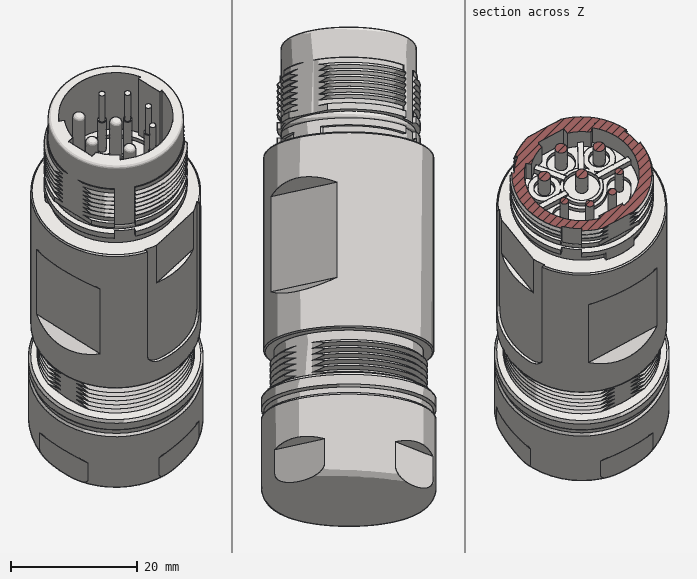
import cadquery as cq
import math


TOTAL_HEIGHT = 76.3
NUT_TOP = 18.0
BODY_BOTTOM = 25.5
BODY_TOP = 58.0

NUT_RADIUS = 13.9
NUT_BOTTOM_ROUND = 3.05
NUT_TOP_CHAMFER = 0.45
NUT_GROOVE_RADIUS = 13.5
NUT_GROOVE_BOTTOM = 14.3
NUT_GROOVE_TOP = 15.95
NUT_FLAT_DISTANCE = 13.0
NUT_FLAT_TOP = 7.0
NUT_FLAT_SLOPE = 1.0

NECK_RADIUS = 11.9
NECK_CREST_RADIUS = 12.5
NECK_FLAT_HALF_WIDTH = 1.6
NECK_FIRST_CREST = 18.5
THREAD_PITCH = 1.0
CREST_COUNT = 6

BODY_RADIUS = 13.5
BODY_CHAMFER = 0.2
BODY_FLAT_DISTANCE = 11.8
BODY_FLAT_BOTTOM = 33.8
BODY_FLAT_TOP = 49.6
BODY_FLAT_SLOPE = 0.9
PANEL_RADIUS = 13.05
PANEL_HALF_WIDTH = 6.5
PANEL_BOTTOM = 30.15
PANEL_CORNER_RADIUS = 2.3
UPPER_FLAT_DISTANCE = 12.2
UPPER_FLAT_BOTTOM = 48.8

SOCKET_RADIUS = 10.75
RIM_ROUND = 0.6
BAND_RADIUS = 10.9
BAND_BOTTOM = 63.4
BAND_TOP = 71.1
SOCKET_CREST_RADIUS = 11.4
SOCKET_FIRST_CREST = 64.8
SOCKET_FLAT_HALF_WIDTH = 1.1
RING_BOTTOM = 62.3
FLANGE_BOTTOM = 59.75
FLANGE_TOP = 60.9
SEAL_GROOVE_RADIUS = 10.2
SLOT_ANGLE = 17.0
SLOT_CENTRES = (48.0, 188.5, 317.0)
SIDE_LUG_Y_RANGE = (-8.8, -3.5)
REAR_LUG_X_RANGE = (-2.7, 2.7)

BORE_RADIUS = 9.1
FLOOR = 62.6
KEY_WIDTH = 4.4
KEY_INNER_FACE = 8.3
LINER_RADIUS = 8.2
LINER_HALF_ANGLE = 44.0
KEYWAY_WIDTH = 4.8
KEYWAY_OUTER_FACE = 8.85

RELIEF = 0.8
HUB_RADIUS = 3.4
HUB_RECESS_RADIUS = 2.9
RIB_WIDTH = 0.9
RIB_HEIGHT = 1.15
RIB_ANGLES = (0.0, 180.0, 238.0, 302.0)
PIN_CIRCLE_RADIUS = 5.95
SIGNAL_PIN_ANGLES = (29.0, 69.0, 111.0, 151.0)
POWER_PIN_ANGLES = (209.0, 270.0, 331.0)
POCKET_HALF_WIDTH = 1.9
SIDE_COLLAR_RADIUS = 2.6
SIDE_COLLAR_BORE = 1.7
LOWER_RECESS_RADIUS = 2.3

PIN_TOP = 75.3
LOWER_PIN_TOP = 75.9
SIGNAL_TIP_DIAMETER = 1.0
SIGNAL_BASE_DIAMETER = 1.4
SIGNAL_STEP = 69.0
POWER_PIN_DIAMETER = 2.0
POWER_PIN_ROUND = 0.6

OVERSIZE = 38.15
BITE = 0.4


def cylinder(radius, bottom, top):
    return cq.Workplane("XY").workplane(offset=bottom).circle(radius).extrude(top - bottom)


def tube(outer, inner, bottom, top):
    return cylinder(outer, bottom, top).cut(cylinder(inner, bottom, top))


def block(x_range, y_range, z_range):
    sizes = [high - low for low, high in (x_range, y_range, z_range)]
    corner = (x_range[0], y_range[0], z_range[0])
    return cq.Workplane("XY").box(*sizes, centered=False).translate(corner)


def polar(radius, angle):
    return radius * math.cos(math.radians(angle)), radius * math.sin(math.radians(angle))


def sector(radius, centre_angle, width_angle, bottom, top):
    """Wedge from the axis out to past the given radius."""
    half = width_angle / 2
    reach = radius / math.cos(math.radians(half))
    points = [(0, 0), polar(reach, centre_angle - half), polar(reach, centre_angle + half)]
    return cq.Workplane("XY").workplane(offset=bottom).polyline(points).close().extrude(top - bottom)


def revolve_profile(points):
    """Turn a half section, given as (radius, height) points, about Z."""
    return cq.Workplane("XZ").polyline(points).close().revolve(360, (0, 0), (0, 1))


def thread_rings(root_radius, crest_radius, first_crest):
    """Row of V-shaped crests standing on the root cylinder."""
    half_pitch = THREAD_PITCH / 2
    inner = root_radius - BITE
    points = [(inner, first_crest - half_pitch)]
    for index in range(CREST_COUNT):
        crest = first_crest + index * THREAD_PITCH
        points.append((root_radius, crest - half_pitch))
        points.append((crest_radius, crest))
    last_root = crest + half_pitch
    points += [(root_radius, last_root), (inner, last_root)]
    return revolve_profile(points)


def trim_front_and_back(solid, core_radius, half_width):
    """Shave front and back flat, leaving the core bare over the given half width."""
    distance = math.sqrt(core_radius**2 - half_width**2)
    keep = block((-OVERSIZE, OVERSIZE), (-distance, distance), (0, TOTAL_HEIGHT))
    return solid.intersect(keep)


def flat_cutter(distance, bottom, top, slope):
    """Cutter for a flat facing -Y, its ends sloping out to full depth."""
    depth = OVERSIZE - distance
    points = [
        (-distance, bottom),
        (-distance, top),
        (-OVERSIZE, top + depth * slope),
        (-OVERSIZE, bottom - depth * slope),
    ]
    return cq.Workplane("YZ").polyline(points).close().extrude(OVERSIZE, both=True)


def make_nut():
    groove_step = NUT_RADIUS - NUT_GROOVE_RADIUS
    nut = cylinder(NUT_RADIUS, 0, NUT_TOP)
    nut = nut.faces("<Z").edges().fillet(NUT_BOTTOM_ROUND)
    nut = nut.faces(">Z").edges().chamfer(NUT_TOP_CHAMFER, groove_step)
    nut = nut.cut(revolve_profile([
        (NUT_RADIUS, NUT_GROOVE_BOTTOM),
        (NUT_GROOVE_RADIUS, NUT_GROOVE_BOTTOM + groove_step),
        (NUT_GROOVE_RADIUS, NUT_GROOVE_TOP - groove_step),
        (NUT_RADIUS, NUT_GROOVE_TOP),
        (OVERSIZE, NUT_GROOVE_TOP),
        (OVERSIZE, NUT_GROOVE_BOTTOM),
    ]))
    flat = flat_cutter(NUT_FLAT_DISTANCE, 0, NUT_FLAT_TOP, NUT_FLAT_SLOPE)
    for angle in (0, 90, 180, 270):
        nut = nut.cut(flat.rotate((0, 0, 0), (0, 0, 1), angle))
    return nut


def make_neck():
    thread = thread_rings(NECK_RADIUS, NECK_CREST_RADIUS, NECK_FIRST_CREST)
    thread = trim_front_and_back(thread, NECK_RADIUS, NECK_FLAT_HALF_WIDTH)
    return cylinder(NECK_RADIUS, NUT_TOP - BITE, BODY_BOTTOM + BITE).union(thread)


def cut_label_panel(body):
    """Shallow panel on the +X side, open at the top, with a deeper flat at its upper end."""
    panel = block((0, OVERSIZE), (-PANEL_HALF_WIDTH, PANEL_HALF_WIDTH), (PANEL_BOTTOM, TOTAL_HEIGHT))
    panel = panel.edges("|X and <Z").fillet(PANEL_CORNER_RADIUS)
    panel = panel.cut(cylinder(PANEL_RADIUS, 0, TOTAL_HEIGHT))
    upper_flat = block(
        (UPPER_FLAT_DISTANCE, OVERSIZE), (-OVERSIZE, OVERSIZE), (UPPER_FLAT_BOTTOM, TOTAL_HEIGHT))
    return body.cut(panel).cut(upper_flat)


def make_body():
    body = cylinder(BODY_RADIUS, BODY_BOTTOM, BODY_TOP)
    body = body.faces("<Z or >Z").edges().chamfer(BODY_CHAMFER)
    flat = flat_cutter(BODY_FLAT_DISTANCE, BODY_FLAT_BOTTOM, BODY_FLAT_TOP, BODY_FLAT_SLOPE)
    body = body.cut(flat).cut(flat.mirror("XZ"))
    return cut_label_panel(body)


def make_socket_shell():
    """Socket wall with a rounded rim and a seal ring bulging out of its groove."""
    seal_height = (RING_BOTTOM + FLANGE_TOP) / 2
    profile = (
        cq.Workplane("XZ")
        .moveTo(0, BODY_TOP - BITE)
        .lineTo(SOCKET_RADIUS, BODY_TOP - BITE)
        .lineTo(SOCKET_RADIUS, FLANGE_TOP)
        .lineTo(SEAL_GROOVE_RADIUS, FLANGE_TOP)
        .threePointArc((SOCKET_RADIUS, seal_height), (SEAL_GROOVE_RADIUS, RING_BOTTOM))
        .lineTo(SOCKET_RADIUS, RING_BOTTOM)
        .lineTo(SOCKET_RADIUS, TOTAL_HEIGHT - RIM_ROUND)
        .tangentArcPoint((SOCKET_RADIUS - RIM_ROUND, TOTAL_HEIGHT), relative=False)
        .lineTo(0, TOTAL_HEIGHT)
        .close()
    )
    return profile.revolve(360, (0, 0), (0, 1))


def make_socket_collars():
    """Threaded band, stop ring and flange, parted by the axial slots, with two lugs below."""
    inner = SOCKET_RADIUS - BITE
    band = tube(BAND_RADIUS, inner, BAND_BOTTOM, BAND_TOP)
    band = band.union(thread_rings(BAND_RADIUS, SOCKET_CREST_RADIUS, SOCKET_FIRST_CREST))
    band = band.union(tube(SOCKET_CREST_RADIUS, inner, RING_BOTTOM, BAND_BOTTOM))
    band = trim_front_and_back(band, SOCKET_RADIUS, SOCKET_FLAT_HALF_WIDTH)
    flange = tube(SOCKET_CREST_RADIUS, inner, FLANGE_BOTTOM, FLANGE_TOP)
    collars = band.union(flange)
    for angle in SLOT_CENTRES:
        collars = collars.cut(sector(OVERSIZE, angle, SLOT_ANGLE, FLANGE_BOTTOM, BAND_TOP))
    lug_ring = tube(SOCKET_CREST_RADIUS, inner, BODY_TOP - BITE, FLANGE_TOP)
    lug_heights = (BODY_TOP - BITE, FLANGE_TOP)
    side_lug = lug_ring.intersect(block((-OVERSIZE, 0), SIDE_LUG_Y_RANGE, lug_heights))
    rear_lug = lug_ring.intersect(block(REAR_LUG_X_RANGE, (0, OVERSIZE), lug_heights))
    return collars.union(side_lug).union(rear_lug)


def make_bore():
    bore = cylinder(BORE_RADIUS, FLOOR, TOTAL_HEIGHT)
    key = block((-KEY_WIDTH / 2, KEY_WIDTH / 2), (KEY_INNER_FACE, BORE_RADIUS), (FLOOR, TOTAL_HEIGHT))
    liner = tube(BORE_RADIUS, LINER_RADIUS, FLOOR, TOTAL_HEIGHT).intersect(
        sector(OVERSIZE, 270, 2 * LINER_HALF_ANGLE, FLOOR, TOTAL_HEIGHT))
    keyway = block(
        (-KEYWAY_WIDTH / 2, KEYWAY_WIDTH / 2), (-KEYWAY_OUTER_FACE, 0), (FLOOR, TOTAL_HEIGHT))
    return bore.cut(key).cut(liner).union(keyway)


def make_signal_pocket():
    """Curved pocket with round ends around the row of signal pins."""
    first, last = SIGNAL_PIN_ANGLES[0], SIGNAL_PIN_ANGLES[-1]
    outer = PIN_CIRCLE_RADIUS + POCKET_HALF_WIDTH
    inner = PIN_CIRCLE_RADIUS - POCKET_HALF_WIDTH
    return (
        cq.Workplane("XY").workplane(offset=FLOOR - RELIEF)
        .moveTo(*polar(outer, first))
        .threePointArc((0, outer), polar(outer, last))
        .tangentArcPoint(polar(inner, last), relative=False)
        .threePointArc((0, inner), polar(inner, first))
        .tangentArcPoint(polar(outer, first), relative=False)
        .close().extrude(RELIEF)
    )


def add_insert_relief(part):
    """Hub, ribs and collars standing on the socket floor, and recesses cut into it."""
    top = FLOOR + RELIEF
    part = part.cut(make_signal_pocket())
    rib = block((0, BORE_RADIUS), (-RIB_WIDTH / 2, RIB_WIDTH / 2), (FLOOR - BITE, FLOOR + RIB_HEIGHT))
    for angle in RIB_ANGLES:
        part = part.union(rib.rotate((0, 0, 0), (0, 0, 1), angle))
    part = part.union(cylinder(HUB_RADIUS, FLOOR - BITE, top))
    part = part.cut(cylinder(HUB_RECESS_RADIUS, FLOOR, FLOOR + RIB_HEIGHT))
    left, lower, right = [polar(PIN_CIRCLE_RADIUS, angle) for angle in POWER_PIN_ANGLES]
    for x, y in (left, right):
        part = part.union(cylinder(SIDE_COLLAR_RADIUS, FLOOR - BITE, top).translate((x, y, 0)))
        part = part.cut(cylinder(SIDE_COLLAR_BORE, FLOOR, FLOOR + RIB_HEIGHT).translate((x, y, 0)))
    recess = cylinder(LOWER_RECESS_RADIUS, FLOOR - RELIEF, FLOOR)
    return part.cut(recess.translate((*lower, 0)))


def make_signal_pin():
    base = cylinder(SIGNAL_BASE_DIAMETER / 2, FLOOR - RELIEF - BITE, SIGNAL_STEP)
    return base.union(cylinder(SIGNAL_TIP_DIAMETER / 2, SIGNAL_STEP, PIN_TOP))


def make_power_pin(top):
    pin = cylinder(POWER_PIN_DIAMETER / 2, FLOOR - RELIEF - BITE, top)
    return pin.faces(">Z").edges().fillet(POWER_PIN_ROUND)


def add_pins(part):
    left, lower, right = [polar(PIN_CIRCLE_RADIUS, angle) for angle in POWER_PIN_ANGLES]
    for x, y in ((0, 0), left, right):
        part = part.union(make_power_pin(PIN_TOP).translate((x, y, 0)))
    part = part.union(make_power_pin(LOWER_PIN_TOP).translate((*lower, 0)))
    for angle in SIGNAL_PIN_ANGLES:
        part = part.union(make_signal_pin().translate((*polar(PIN_CIRCLE_RADIUS, angle), 0)))
    return part


housing = make_nut().union(make_neck()).union(make_body())
housing = housing.union(make_socket_shell()).union(make_socket_collars())
housing = add_insert_relief(housing.cut(make_bore()))
result = add_pins(housing)